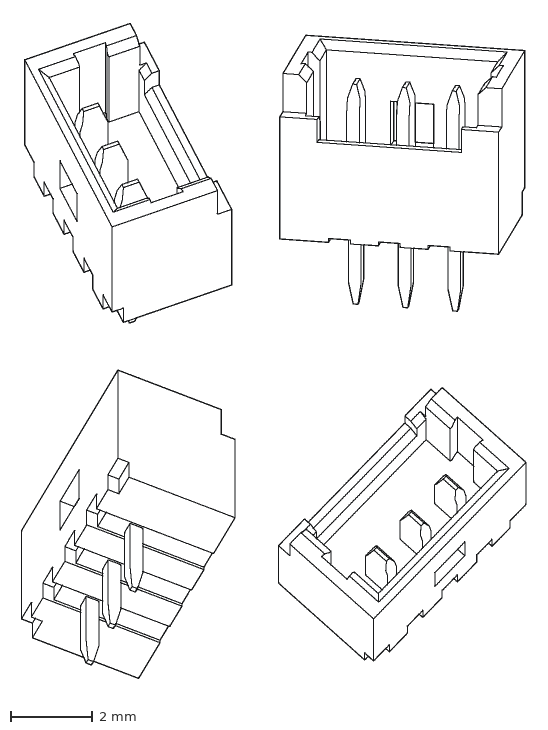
import cadquery as cq


length = 5.5
depth = 3.2
height = 4.2
end_wall = 0.6
front_wall = 0.4
back_wall = 0.4
floor_top = 1.25
lead_in = 0.2

shoulder_height = 3.2
back_opening_height = 2.6
corner_post = 0.94
end_wall_setback = 0.38

key_depth = 0.3
key_half_root = 0.43
key_half_neck = 0.40
key_half_mouth = 0.395
key_lip = 0.12
key_half_crest = 0.385

window_width = 1.08
window_bottom = 1.6
window_top = 2.77

relief_height = 0.6
relief_depth = 0.3
pin_relief_width = 0.55
corner_relief_width = 0.57
vent_height = 0.1

pin_count = 3
pitch = 1.25
pin_y = 1.15
pin_width = 0.32
tail_depth = 0.35
tail_reach = 2.3
tail_tip_height = 0.6
tail_taper = 0.1
blade_depth = 0.75
blade_top = 3.5
blade_side_taper_height = 0.35
blade_side_taper = 0.11
blade_slope_height = 0.65
blade_front_slope = 0.145
blade_back_slope = 0.185

cavity_length = length - 2 * end_wall
cavity_depth = depth - front_wall - back_wall
cavity_y = front_wall + cavity_depth / 2
pin_positions = [(i - (pin_count - 1) / 2) * pitch for i in range(pin_count)]


def box(x_min, x_max, y_min, y_max, z_min, z_max):
    """Axis-aligned block between the given limits."""
    block = cq.Workplane("XY").box(x_max - x_min, y_max - y_min, z_max - z_min, centered=False)
    return block.translate((x_min, y_min, z_min))


def mouth_chamfer(rim_height):
    """Flared cutter that chamfers the cavity walls where they end at rim_height."""
    base = cq.Workplane("XY", origin=(0, cavity_y, rim_height - lead_in))
    base = base.rect(cavity_length, cavity_depth).workplane(offset=lead_in)
    return base.rect(cavity_length + 2 * lead_in, cavity_depth + 2 * lead_in).loft(ruled=True)


def key_slot():
    """Cutter for the undercut slot in the -X end wall, with slightly rounded lips."""
    root_x = -length / 2 + key_depth
    mouth_x = -cavity_length / 2
    neck_x = mouth_x - key_lip
    mid_y = depth / 2
    profile = (
        cq.Workplane("XY", origin=(0, 0, floor_top))
        .moveTo(mouth_x, mid_y + key_half_mouth)
        .lineTo(mouth_x, mid_y - key_half_mouth)
        .threePointArc(
            (mouth_x - key_lip / 2, mid_y - key_half_crest),
            (neck_x, mid_y - key_half_neck),
        )
        .lineTo(root_x, mid_y - key_half_root)
        .lineTo(root_x, mid_y + key_half_root)
        .lineTo(neck_x, mid_y + key_half_neck)
        .threePointArc(
            (mouth_x - key_lip / 2, mid_y + key_half_crest),
            (mouth_x, mid_y + key_half_mouth),
        )
        .close()
    )
    return profile.extrude(height - floor_top)


def shell():
    """Open-topped housing with its stepped back wall and chamfered mouth."""
    half = length / 2
    half_cavity = cavity_length / 2
    half_opening = half - corner_post
    back_face = depth - back_wall
    body = box(-half, half, 0, depth, 0, height)
    body = body.cut(box(-half_cavity, half_cavity, front_wall, back_face, floor_top, height))
    body = body.cut(box(-half, half, depth - end_wall_setback, depth, shoulder_height, height))
    body = body.cut(box(-half_cavity, half_cavity, back_face, depth, shoulder_height, height))
    body = body.cut(box(-half_opening, half_opening, back_face, depth, back_opening_height, height))

    body = body.cut(mouth_chamfer(height))

    back_zone = box(-half_cavity, half_cavity, back_face, depth, 0, height)
    middle_zone = box(-half_opening, half_opening, back_face, depth, 0, height)
    body = body.cut(mouth_chamfer(shoulder_height).intersect(back_zone))
    body = body.cut(mouth_chamfer(back_opening_height).intersect(middle_zone))

    slot = key_slot()
    return body.cut(slot).cut(slot.mirror("YZ"))


def cut_window(body):
    """Rectangular latch window through the front wall."""
    return body.cut(box(-window_width / 2, window_width / 2, 0, front_wall, window_bottom, window_top))


def cut_reliefs(body):
    """Notches along the lower front edge and vents under the pins."""
    half = length / 2
    inner = half - corner_relief_width
    body = body.cut(box(-half, -inner, 0, relief_depth, 0, relief_height))
    body = body.cut(box(inner, half, 0, relief_depth, 0, relief_height))
    for x in pin_positions:
        left = x - pin_relief_width / 2
        right = x + pin_relief_width / 2
        body = body.cut(box(left, right, 0, relief_depth, 0, relief_height))
        body = body.cut(box(left, right, 0, depth, 0, vent_height))
    return body


def blade(x):
    """Flat contact blade: sloped front and back, shorter tapers on both sides."""
    half_width = pin_width / 2
    tip_half_width = half_width - blade_side_taper
    front = pin_y - blade_depth / 2
    back = pin_y + blade_depth / 2
    tip_front = front + blade_front_slope
    tip_back = back - blade_back_slope
    slope_base = blade_top - blade_slope_height
    taper_base = blade_top - blade_side_taper_height
    side_profile = (
        cq.Workplane("YZ", origin=(x - half_width, 0, 0))
        .moveTo(front, floor_top)
        .lineTo(front, slope_base)
        .lineTo(tip_front, blade_top)
        .lineTo(tip_back, blade_top)
        .lineTo(back, slope_base)
        .lineTo(back, floor_top)
        .close()
        .extrude(pin_width)
    )
    front_profile = (
        cq.Workplane("XZ", origin=(x, back, 0))
        .moveTo(-half_width, floor_top)
        .lineTo(-half_width, taper_base)
        .lineTo(-tip_half_width, blade_top)
        .lineTo(tip_half_width, blade_top)
        .lineTo(half_width, taper_base)
        .lineTo(half_width, floor_top)
        .close()
        .extrude(blade_depth)
    )
    return side_profile.intersect(front_profile)


def tail(x):
    """Solder tail running down from the cavity floor to a tapered tip."""
    half_width = pin_width / 2
    half_depth = tail_depth / 2
    tip_base = tail_tip_height - tail_reach
    shank = box(x - half_width, x + half_width, pin_y - half_depth, pin_y + half_depth, tip_base, floor_top)
    tip = (
        cq.Workplane("XY", origin=(x, pin_y, tip_base))
        .rect(pin_width, tail_depth)
        .workplane(offset=-tail_tip_height)
        .rect(pin_width - 2 * tail_taper, tail_depth - 2 * tail_taper)
        .loft(ruled=True)
    )
    return shank.union(tip)


result = cut_reliefs(cut_window(shell()))
for pin_x in pin_positions:
    result = result.union(tail(pin_x)).union(blade(pin_x))